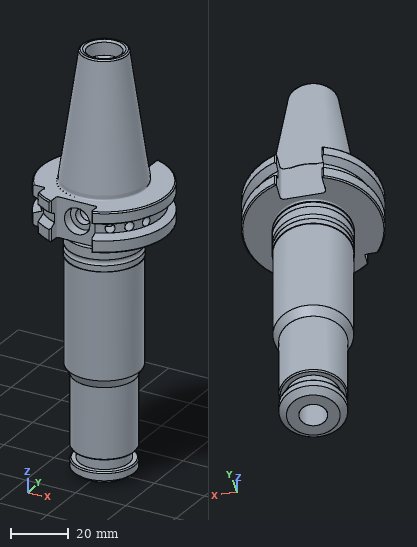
import cadquery as cq
import math

TOTAL_LENGTH = 163.2
GAUGE_Z = 114.2
FLANGE_TOP = 112.2
FLANGE_BOTTOM = 96.5

TAPER_RATIO = 7 / 24
GAUGE_RADIUS = 32.0 / 2
TAPER_TOP_RADIUS = GAUGE_RADIUS - (TOTAL_LENGTH - GAUGE_Z) * TAPER_RATIO / 2
TAPER_TOP_CHAMFER = 0.5
BASE_FILLET = 0.7

FLANGE_RADIUS = 50.0 / 2
FLANGE_CHAMFER = 0.5
GROOVE_Z = 104.5
GROOVE_FLOOR_RADIUS = 44.2 / 2
GROOVE_FLOOR_WIDTH = 3.5
GROOVE_FLANK_ANGLE = 30
GROOVE_MOUTH_WIDTH = GROOVE_FLOOR_WIDTH + 2 * (FLANGE_RADIUS - GROOVE_FLOOR_RADIUS) * math.tan(
    math.radians(GROOVE_FLANK_ANGLE)
)

SLOT_WIDTH = 16.2
FRONT_SLOT_FLOOR = 19.0
FRONT_SLOT_FILLET = 0.7
REAR_SLOT_FLOOR = 16.0
REAR_SLOT_FILLET = 1.3
SLOT_MOUTH_BEVEL = 0.8
NOTCH_OFFSET = 15.0
NOTCH_FILLET = 0.5

COUNTERBORE_DIAMETER = 10.1
COUNTERBORE_DEPTH = 4.2
PILOT_DIAMETER = 6.0
PILOT_DEPTH = 7.5
DRILL_POINT_ANGLE = 118

RADIAL_HOLE_DIAMETER = 3.5
RADIAL_HOLE_DEPTH = 4.9
RADIAL_HOLE_ANGLES = (35, 53, 71)

COLLAR_RADIUS = 28.5 / 2
BODY_RADIUS = 28.0 / 2
COLLAR_BOTTOM = 83.9
BODY_BOTTOM = 41.6
COLLAR_GROOVES = ((95.3, FLANGE_BOTTOM), (92.7, 94.8), (86.3, 88.6))
COLLAR_GROOVE_DEPTH = 0.5

NOSE_RADIUS = 24.0 / 2
NOSE_TOP = 38.0
CLAMP_GROOVE_RADIUS = 19.5 / 2
CLAMP_GROOVE_TOP = 9.8
CLAMP_GROOVE_BOTTOM = 5.2
CLAMP_EDGE_CHAMFER = 0.5
TIP_RADIUS = 18.6 / 2
TIP_CHAMFER_HEIGHT = 2.0

BORE_RADIUS = 10.0 / 2
SOCKET_RADIUS = 13 / 2
SOCKET_DEPTH = 5.7
SOCKET_CONE_HEIGHT = 1.1
SOCKET_MOUTH_RADIUS = 15.0 / 2
SOCKET_MOUTH_DEPTH = 0.7

CUT_CLEARANCE = 1.6

flange_height = FLANGE_TOP - FLANGE_BOTTOM


def spun(outline):
    """Revolve an outline drawn in the radius-height plane about the Z axis."""
    return outline.close().revolve(360, (0, 0, 0), (0, 1, 0))


def taper():
    """Taper and its base, with a core reaching down through the flange."""
    fillet_middle = BASE_FILLET * (1 - math.sqrt(0.5))
    chamfer_radius = TAPER_TOP_RADIUS + TAPER_TOP_CHAMFER * TAPER_RATIO / 2
    return spun(
        cq.Workplane("XZ")
        .moveTo(0, TOTAL_LENGTH)
        .lineTo(TAPER_TOP_RADIUS - TAPER_TOP_CHAMFER, TOTAL_LENGTH)
        .lineTo(chamfer_radius, TOTAL_LENGTH - TAPER_TOP_CHAMFER)
        .lineTo(GAUGE_RADIUS, GAUGE_Z)
        .lineTo(GAUGE_RADIUS, FLANGE_TOP + BASE_FILLET)
        .threePointArc(
            (GAUGE_RADIUS + fillet_middle, FLANGE_TOP + fillet_middle),
            (GAUGE_RADIUS + BASE_FILLET, FLANGE_TOP),
        )
        .lineTo(GAUGE_RADIUS, FLANGE_BOTTOM)
        .lineTo(0, FLANGE_BOTTOM)
    )


def flange_disc():
    disc = (
        cq.Workplane("XY", origin=(0, 0, FLANGE_BOTTOM))
        .circle(FLANGE_RADIUS)
        .extrude(flange_height)
        .edges()
        .chamfer(FLANGE_CHAMFER)
    )
    groove = spun(
        cq.Workplane("XZ")
        .moveTo(FLANGE_RADIUS, GROOVE_Z - GROOVE_MOUTH_WIDTH / 2)
        .lineTo(GROOVE_FLOOR_RADIUS, GROOVE_Z - GROOVE_FLOOR_WIDTH / 2)
        .lineTo(GROOVE_FLOOR_RADIUS, GROOVE_Z + GROOVE_FLOOR_WIDTH / 2)
        .lineTo(FLANGE_RADIUS, GROOVE_Z + GROOVE_MOUTH_WIDTH / 2)
        .lineTo(FLANGE_RADIUS + CUT_CLEARANCE, GROOVE_Z + GROOVE_MOUTH_WIDTH / 2)
        .lineTo(FLANGE_RADIUS + CUT_CLEARANCE, GROOVE_Z - GROOVE_MOUTH_WIDTH / 2)
    )
    return disc.cut(groove)


def drive_slot(floor, fillet):
    """Cutter for a slot on the +Y side, with filleted floor corners and a bevelled mouth."""
    half = SLOT_WIDTH / 2
    rim_y = math.sqrt(FLANGE_RADIUS**2 - half**2)
    bevel_y = rim_y - SLOT_MOUTH_BEVEL
    flare = FLANGE_RADIUS - bevel_y
    blank = (
        cq.Workplane("XY", origin=(0, 0, FLANGE_BOTTOM))
        .moveTo(-half, floor)
        .lineTo(half, floor)
        .lineTo(half, bevel_y)
        .lineTo(half + flare, FLANGE_RADIUS)
        .lineTo(-half - flare, FLANGE_RADIUS)
        .lineTo(-half, bevel_y)
        .close()
        .extrude(flange_height)
    )
    return blank.edges("|Z and <Y").fillet(fillet)


def orientation_notch():
    """Square corner notch toward -X and -Y, with a fillet where its walls meet."""
    near = -NOTCH_OFFSET
    far = -FLANGE_RADIUS
    blank = (
        cq.Workplane("XY", origin=(0, 0, FLANGE_BOTTOM))
        .moveTo(near, near)
        .lineTo(near, far)
        .lineTo(far, far)
        .lineTo(far, near)
        .close()
        .extrude(flange_height)
    )
    return blank.edges("|Z and >X and >Y").fillet(NOTCH_FILLET)


def slot_hole():
    """Counterbored blind hole, drilled toward +Y from the front slot floor."""
    pilot_radius = PILOT_DIAMETER / 2
    point_length = pilot_radius / math.tan(math.radians(DRILL_POINT_ANGLE / 2))
    start = -FRONT_SLOT_FLOOR
    step = start + COUNTERBORE_DEPTH
    bottom = start + PILOT_DEPTH
    outline = (
        cq.Workplane("XY")
        .moveTo(0, start)
        .lineTo(COUNTERBORE_DIAMETER / 2, start)
        .lineTo(COUNTERBORE_DIAMETER / 2, step)
        .lineTo(pilot_radius, step)
        .lineTo(pilot_radius, bottom)
        .lineTo(0, bottom + point_length)
    )
    return spun(outline).translate((0, 0, GROOVE_Z))


def radial_hole(angle):
    return (
        cq.Workplane("XZ", origin=(0, -GROOVE_FLOOR_RADIUS + RADIAL_HOLE_DEPTH, GROOVE_Z))
        .circle(RADIAL_HOLE_DIAMETER / 2)
        .extrude(RADIAL_HOLE_DEPTH + CUT_CLEARANCE)
        .rotate((0, 0, 0), (0, 0, 1), angle)
    )


def body():
    """Collar, body and nose, with the collar reaching up into the flange."""
    outline = (
        cq.Workplane("XZ")
        .moveTo(0, FLANGE_TOP)
        .lineTo(COLLAR_RADIUS, FLANGE_TOP)
    )
    for low, high in COLLAR_GROOVES:
        outline = outline.lineTo(COLLAR_RADIUS, high).threePointArc(
            (COLLAR_RADIUS - COLLAR_GROOVE_DEPTH, (low + high) / 2), (COLLAR_RADIUS, low)
        )
    return spun(
        outline.lineTo(COLLAR_RADIUS, COLLAR_BOTTOM)
        .lineTo(BODY_RADIUS, COLLAR_BOTTOM)
        .lineTo(BODY_RADIUS, BODY_BOTTOM)
        .lineTo(NOSE_RADIUS, NOSE_TOP)
        .lineTo(NOSE_RADIUS, CLAMP_GROOVE_TOP + CLAMP_EDGE_CHAMFER)
        .lineTo(NOSE_RADIUS - CLAMP_EDGE_CHAMFER, CLAMP_GROOVE_TOP)
        .lineTo(CLAMP_GROOVE_RADIUS, CLAMP_GROOVE_TOP)
        .lineTo(CLAMP_GROOVE_RADIUS, CLAMP_GROOVE_BOTTOM)
        .lineTo(NOSE_RADIUS - CLAMP_EDGE_CHAMFER, CLAMP_GROOVE_BOTTOM)
        .lineTo(NOSE_RADIUS, CLAMP_GROOVE_BOTTOM - CLAMP_EDGE_CHAMFER)
        .lineTo(NOSE_RADIUS, TIP_CHAMFER_HEIGHT)
        .lineTo(TIP_RADIUS, 0)
        .lineTo(0, 0)
    )


def bore():
    """Through bore with a countersunk socket at the small end of the taper."""
    socket_bottom = TOTAL_LENGTH - SOCKET_DEPTH
    return spun(
        cq.Workplane("XZ")
        .lineTo(BORE_RADIUS, 0)
        .lineTo(BORE_RADIUS, socket_bottom - SOCKET_CONE_HEIGHT)
        .lineTo(SOCKET_RADIUS, socket_bottom)
        .lineTo(SOCKET_RADIUS, TOTAL_LENGTH - SOCKET_MOUTH_DEPTH)
        .lineTo(SOCKET_MOUTH_RADIUS, TOTAL_LENGTH)
        .lineTo(0, TOTAL_LENGTH)
    )


front_slot = drive_slot(FRONT_SLOT_FLOOR, FRONT_SLOT_FILLET).rotate((0, 0, 0), (0, 0, 1), 180)
rear_slot = drive_slot(REAR_SLOT_FLOOR, REAR_SLOT_FILLET)

flange = flange_disc().cut(front_slot).cut(rear_slot).cut(orientation_notch())
result = flange.union(taper()).union(body()).cut(slot_hole()).cut(bore())
for hole_angle in RADIAL_HOLE_ANGLES:
    result = result.cut(radial_hole(hole_angle))